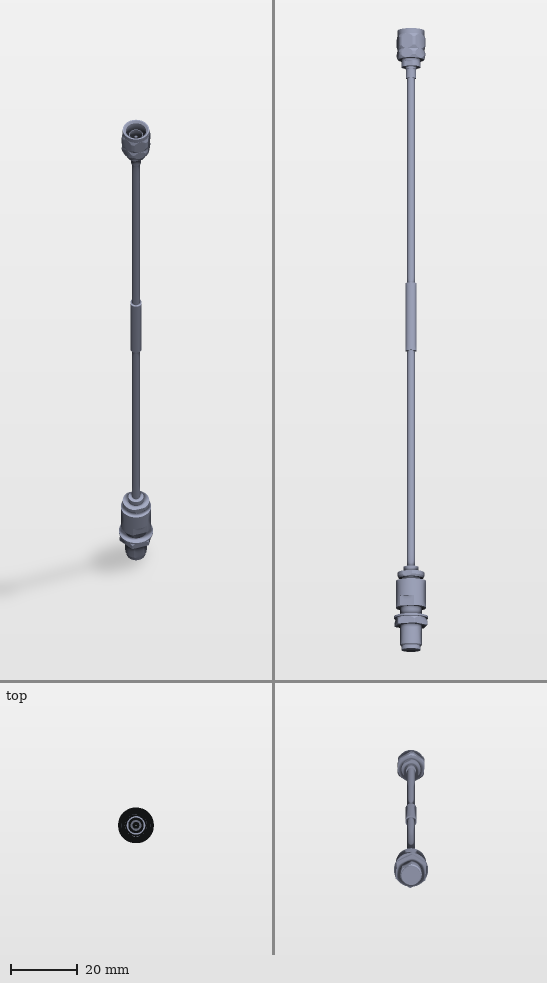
import cadquery as cq
import math

TOTAL_LENGTH = 189.6

CABLE_RADIUS = 1.1

SLEEVE_RADIUS = 1.7
SLEEVE_BOTTOM = 91.5
SLEEVE_LENGTH = 20.7

PLUG_NUT_FLATS = 8.0
PLUG_NUT_CORNER_RADIUS = 4.4
PLUG_NUT_LENGTH = 9.0
PLUG_NUT_RING_RADIUS = 4.0
PLUG_NUT_RING_LENGTH = 1.5
PLUG_NUT_CHAMFER_HEIGHT = 1.0
PLUG_NUT_LOWER_LENGTH = 2.8
PLUG_NUT_BORE_RADIUS = 3.0
PLUG_NUT_MOUTH_CHAMFER = 0.5

PLUG_COLLAR_RADIUS = 2.8
PLUG_COLLAR_LENGTH = 2.3
PLUG_COLLAR_FLATS = 5.1
PLUG_COLLAR_FLAT_LENGTH = 1.7
PLUG_NECK_RADIUS = 1.7
PLUG_NECK_LENGTH = 0.5
PLUG_FERRULE_RADIUS = 1.5
PLUG_FERRULE_LENGTH = 2.8
PLUG_BASE_LENGTH = 2.8
PLUG_SHELL_RADIUS = 2.0
PLUG_SHELL_BORE_RADIUS = 1.9
PLUG_SHELL_LENGTH = 3.8
PLUG_PIN_ROOT_RADIUS = 0.8
PLUG_PIN_ROOT_LENGTH = 1.0
PLUG_PIN_RADIUS = 0.47
PLUG_PIN_LENGTH = 2.8

THREAD_RADIUS = 3.2
THREAD_FLAT_X = 2.8
THREAD_TIP_RADIUS = 2.8
THREAD_TIP_LENGTH = 1.1
THREAD_CONE_LENGTH = 0.4
JACK_BODY_RADIUS = 4.5
JACK_BODY_BOTTOM = 12.9
JACK_BODY_LENGTH = 8.2
JACK_BODY_FLATS = 8.0
JACK_BODY_FLAT_LENGTH = 3.0
JACK_NECK_RADIUS = 2.8
JACK_NECK_LENGTH = 1.0
JACK_FLANGE_RADIUS = 4.0
JACK_FLANGE_LENGTH = 1.7
JACK_FLANGE_FLATS = 7.4
JACK_FLANGE_CHAMFER_HEIGHT = 0.5
JACK_FERRULE_RADIUS = 2.3
JACK_FERRULE_LENGTH = 1.7

MOUNT_NUT_FLATS = 9.0
MOUNT_NUT_BOTTOM = 7.4
MOUNT_NUT_LENGTH = 2.3
MOUNT_NUT_CHAMFER_HEIGHT = 1.0
WASHER_RADIUS = 5.1
WASHER_THICKNESS = 0.5

PLUG_NUT_BOTTOM = TOTAL_LENGTH - PLUG_NUT_LENGTH
PLUG_COLLAR_BOTTOM = PLUG_NUT_BOTTOM - PLUG_COLLAR_LENGTH
PLUG_NECK_BOTTOM = PLUG_COLLAR_BOTTOM - PLUG_NECK_LENGTH
PLUG_FERRULE_BOTTOM = PLUG_NECK_BOTTOM - PLUG_FERRULE_LENGTH
JACK_BODY_TOP = JACK_BODY_BOTTOM + JACK_BODY_LENGTH
JACK_FLANGE_BOTTOM = JACK_BODY_TOP + JACK_NECK_LENGTH
JACK_FERRULE_BOTTOM = JACK_FLANGE_BOTTOM + JACK_FLANGE_LENGTH
JACK_TOP = JACK_FERRULE_BOTTOM + JACK_FERRULE_LENGTH
WASHER_BOTTOM = MOUNT_NUT_BOTTOM + MOUNT_NUT_LENGTH


def cylinder(radius, bottom, length):
    """Upright cylinder on the cable axis."""
    return cq.Workplane("XY").workplane(offset=bottom).circle(radius).extrude(length)


def cone(bottom_radius, top_radius, bottom, length):
    """Upright truncated cone on the cable axis."""
    return cq.Workplane(cq.Solid.makeCone(bottom_radius, top_radius, length, pnt=cq.Vector(0, 0, bottom)))


def hexagon(flats, bottom, length):
    """Upright hexagonal prism with two of its corners on the Y axis."""
    corner_diameter = flats / math.cos(math.pi / 6)
    prism = cq.Workplane("XY").workplane(offset=bottom).polygon(6, corner_diameter).extrude(length)
    return prism.rotate((0, 0, 0), (0, 0, 1), 90)


def turned_hexagon(flats, corner_radius, bottom, length, chamfer_height, ends):
    """Hexagon with corners turned to a radius and coned down to the flats at the chosen ends."""
    blank = cylinder(corner_radius, bottom, length)
    blank = blank.faces(ends).edges().chamfer(chamfer_height, corner_radius - flats / 2)
    return hexagon(flats, bottom, length).intersect(blank)


def between_x_flats(body, flats, bottom, length):
    """Cut a pair of flats facing -X and +X, a given distance apart, over part of the height."""
    reach = 2 * flats
    outside = cq.Workplane("XY").workplane(offset=bottom).rect(reach, reach).extrude(length)
    kept = cq.Workplane("XY").workplane(offset=bottom).rect(flats, reach).extrude(length)
    return body.cut(outside.cut(kept))


def make_cable():
    return cylinder(CABLE_RADIUS, JACK_TOP, PLUG_FERRULE_BOTTOM - JACK_TOP)


def make_sleeve():
    sleeve = cylinder(SLEEVE_RADIUS, SLEEVE_BOTTOM, SLEEVE_LENGTH)
    return sleeve.cut(cylinder(CABLE_RADIUS, SLEEVE_BOTTOM, SLEEVE_LENGTH))


def plug_nut_hexagon(bottom, length):
    return turned_hexagon(
        PLUG_NUT_FLATS, PLUG_NUT_CORNER_RADIUS, bottom, length, PLUG_NUT_CHAMFER_HEIGHT, "<Z or >Z"
    )


def make_plug_nut():
    """Coupling nut: two hexagons that meet in a chamfered groove, and a round end ring."""
    ring_bottom = TOTAL_LENGTH - PLUG_NUT_RING_LENGTH
    upper_bottom = PLUG_NUT_BOTTOM + PLUG_NUT_LOWER_LENGTH
    nut = plug_nut_hexagon(PLUG_NUT_BOTTOM, PLUG_NUT_LOWER_LENGTH)
    nut = nut.union(plug_nut_hexagon(upper_bottom, ring_bottom - upper_bottom))
    nut = nut.union(cylinder(PLUG_NUT_RING_RADIUS, ring_bottom, PLUG_NUT_RING_LENGTH))
    nut = nut.cut(cylinder(PLUG_NUT_BORE_RADIUS, PLUG_NUT_BOTTOM, PLUG_NUT_LENGTH))
    mouth = cone(
        PLUG_NUT_BORE_RADIUS,
        PLUG_NUT_BORE_RADIUS + PLUG_NUT_MOUTH_CHAMFER,
        TOTAL_LENGTH - PLUG_NUT_MOUTH_CHAMFER,
        PLUG_NUT_MOUTH_CHAMFER,
    )
    return nut.cut(mouth)


def make_plug_body():
    """Ferrule, flatted collar, and the contact shell and pin inside the nut."""
    base_top = PLUG_NUT_BOTTOM + PLUG_BASE_LENGTH
    collar = cylinder(PLUG_COLLAR_RADIUS, PLUG_COLLAR_BOTTOM, PLUG_COLLAR_LENGTH)
    body = between_x_flats(collar, PLUG_COLLAR_FLATS, PLUG_COLLAR_BOTTOM, PLUG_COLLAR_FLAT_LENGTH)
    body = body.union(cylinder(PLUG_NECK_RADIUS, PLUG_NECK_BOTTOM, PLUG_NECK_LENGTH))
    body = body.union(cylinder(PLUG_FERRULE_RADIUS, PLUG_FERRULE_BOTTOM, PLUG_FERRULE_LENGTH))
    body = body.union(cylinder(PLUG_NUT_BORE_RADIUS, PLUG_NUT_BOTTOM, PLUG_BASE_LENGTH))
    shell = cylinder(PLUG_SHELL_RADIUS, base_top, PLUG_SHELL_LENGTH)
    shell = shell.cut(cylinder(PLUG_SHELL_BORE_RADIUS, base_top, PLUG_SHELL_LENGTH))
    body = body.union(shell)
    body = body.union(cylinder(PLUG_PIN_ROOT_RADIUS, base_top, PLUG_PIN_ROOT_LENGTH))
    return body.union(cylinder(PLUG_PIN_RADIUS, base_top, PLUG_PIN_LENGTH))


def threaded_barrel():
    """Round barrel with a turned-down tip, flattened on its +X side."""
    shank_bottom = THREAD_TIP_LENGTH + THREAD_CONE_LENGTH
    barrel = cylinder(THREAD_RADIUS, shank_bottom, JACK_BODY_BOTTOM - shank_bottom)
    barrel = barrel.union(cone(THREAD_TIP_RADIUS, THREAD_RADIUS, THREAD_TIP_LENGTH, THREAD_CONE_LENGTH))
    barrel = barrel.union(cylinder(THREAD_TIP_RADIUS, 0, THREAD_TIP_LENGTH))
    beyond_flat = cq.Workplane("XY").box(
        THREAD_RADIUS, 2 * THREAD_RADIUS, JACK_BODY_BOTTOM, centered=(False, True, False)
    )
    return barrel.cut(beyond_flat.translate((THREAD_FLAT_X, 0, 0)))


def jack_flange():
    """Flange with a bottom chamfer and two side flats."""
    flange = cylinder(JACK_FLANGE_RADIUS, JACK_FLANGE_BOTTOM, JACK_FLANGE_LENGTH)
    flat_depth = JACK_FLANGE_RADIUS - JACK_FLANGE_FLATS / 2
    flange = flange.faces("<Z").edges().chamfer(JACK_FLANGE_CHAMFER_HEIGHT, flat_depth)
    return between_x_flats(flange, JACK_FLANGE_FLATS, JACK_FLANGE_BOTTOM, JACK_FLANGE_LENGTH)


def make_jack():
    body = cylinder(JACK_BODY_RADIUS, JACK_BODY_BOTTOM, JACK_BODY_LENGTH)
    body = between_x_flats(body, JACK_BODY_FLATS, JACK_BODY_BOTTOM, JACK_BODY_FLAT_LENGTH)
    body = body.union(threaded_barrel())
    body = body.union(cylinder(JACK_NECK_RADIUS, JACK_BODY_TOP, JACK_NECK_LENGTH))
    body = body.union(jack_flange())
    return body.union(cylinder(JACK_FERRULE_RADIUS, JACK_FERRULE_BOTTOM, JACK_FERRULE_LENGTH))


def make_mount_nut():
    """Hexagon nut as wide as the washer at its corners, chamfered on the washer side."""
    nut = turned_hexagon(
        MOUNT_NUT_FLATS, WASHER_RADIUS, MOUNT_NUT_BOTTOM, MOUNT_NUT_LENGTH, MOUNT_NUT_CHAMFER_HEIGHT, ">Z"
    )
    return nut.cut(cylinder(THREAD_RADIUS, MOUNT_NUT_BOTTOM, MOUNT_NUT_LENGTH))


def make_washer():
    washer = cylinder(WASHER_RADIUS, WASHER_BOTTOM, WASHER_THICKNESS)
    return washer.cut(cylinder(THREAD_RADIUS, WASHER_BOTTOM, WASHER_THICKNESS))


result = cq.Compound.makeCompound([
    make_cable().val(),
    make_sleeve().val(),
    make_plug_nut().val(),
    make_plug_body().val(),
    make_jack().val(),
    make_mount_nut().val(),
    make_washer().val(),
])